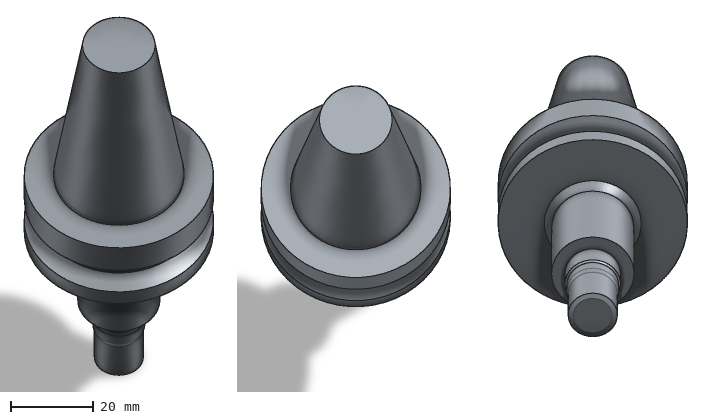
import cadquery as cq

total_length = 118.4
flange_diameter = 46.0
groove_diameter = 38.0
taper_diameter = 31.7
taper_ratio = 7 / 24
collar_diameter = 23.6
body_diameter = 20.0
neck_diameter = 13.5
band_diameter = 12.7
tip_diameter = 12.0
tip_end_diameter = 9.5

tip_edge_z = 0.4
tip_top_z = 11.2
band_bottom_z = 12.7
band_top_z = 15.6
neck_bottom_z = 16.2
body_bottom_z = 21.9
collar_bottom_z = 45.8
flange_bottom_z = 48.0
groove_lower_edge_z = 52.3
groove_floor_bottom_z = 54.7
groove_floor_top_z = 58.1
groove_upper_edge_z = 60.5
flange_top_z = 69.0
taper_bottom_z = 70.1

taper_end_diameter = taper_diameter - taper_ratio * (total_length - taper_bottom_z)

corners = [
    (tip_end_diameter, 0),
    (tip_diameter, tip_edge_z),
    (tip_diameter, tip_top_z),
    (band_diameter, band_bottom_z),
    (band_diameter, band_top_z),
    (neck_diameter, neck_bottom_z),
    (neck_diameter, body_bottom_z),
    (body_diameter, body_bottom_z),
    (body_diameter, collar_bottom_z),
    (collar_diameter, flange_bottom_z),
    (flange_diameter, flange_bottom_z),
    (flange_diameter, groove_lower_edge_z),
    (groove_diameter, groove_floor_bottom_z),
    (groove_diameter, groove_floor_top_z),
    (flange_diameter, groove_upper_edge_z),
    (flange_diameter, flange_top_z),
    (taper_diameter, flange_top_z),
    (taper_diameter, taper_bottom_z),
    (taper_end_diameter, total_length),
]

outline = [(0, 0)]
outline += [(diameter / 2, z) for diameter, z in corners]
outline.append((0, total_length))

result = cq.Workplane("XZ").polyline(outline).close().revolve(360, (0, 0, 0), (0, 1, 0))